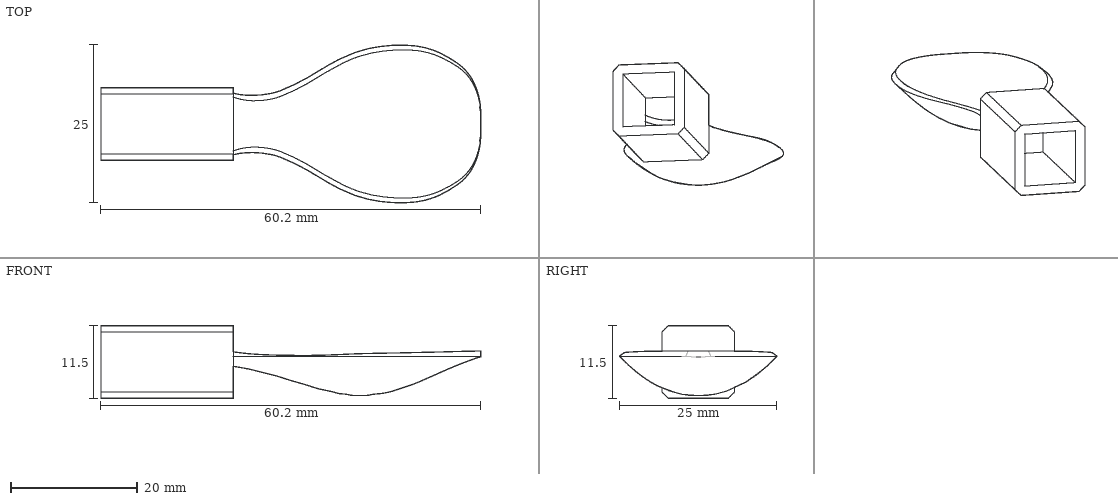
import cadquery as cq
import math

housing_length = 21.0
housing_side = 11.5
end_wall = 1.5
edge_chamfer = 1.0
cavity_width = 8.3
cavity_height = 8.5

overall_length = 60.15
rim_z = 0.9
shell_thickness = 0.95
spoon_start_x = housing_length - end_wall

spoon_sections = [
    (spoon_start_x, 5.15, -0.45, 0.75),
    (21.3, 4.80, -0.80, 0.68),
    (23.5, 4.55, -1.17, 0.42),
    (25.7, 4.65, -1.70, 0.28),
    (27.9, 5.10, -2.30, 0.20),
    (30.0, 5.95, -2.93, 0.17),
    (32.2, 7.05, -3.62, 0.15),
    (34.4, 8.35, -4.25, 0.17),
    (36.6, 9.65, -4.80, 0.24),
    (38.8, 10.75, -5.20, 0.34),
    (40.9, 11.55, -5.36, 0.43),
    (43.1, 12.10, -5.22, 0.48),
    (45.3, 12.40, -4.86, 0.52),
    (47.5, 12.505, -4.27, 0.56),
    (50.0, 12.35, -3.33, 0.62),
    (52.9, 11.60, -2.10, 0.68),
    (55.1, 10.50, -1.08, 0.74),
    (57.3, 8.95, -0.20, 0.80),
    (58.4, 7.70, 0.22, 0.82),
    (59.4, 5.80, 0.58, 0.84),
    (59.95, 3.90, 0.74, 0.85),
    (overall_length, 2.00, 0.78, 0.85),
]


def make_housing():
    body = cq.Workplane("YZ").rect(housing_side, housing_side).extrude(housing_length)
    body = body.edges("|X").chamfer(edge_chamfer)
    cavity = cq.Workplane("YZ").rect(cavity_width, cavity_height).extrude(housing_length - end_wall)
    return body.cut(cavity)


def section_wire(x, half_width, bottom_z, rim_rise):
    """Closed crescent: an outer and an inner arc joined by a narrow sloping rim on each side."""
    rim_inset = math.sqrt(shell_thickness**2 - rim_rise**2)
    inner_half_width = half_width - rim_inset
    inner_rim_z = rim_z + rim_rise
    inner_bottom_z = bottom_z + shell_thickness
    return (
        cq.Workplane("YZ", origin=(x, 0, 0))
        .moveTo(-half_width, rim_z)
        .threePointArc((0, bottom_z), (half_width, rim_z))
        .lineTo(inner_half_width, inner_rim_z)
        .threePointArc((0, inner_bottom_z), (-inner_half_width, inner_rim_z))
        .close()
        .val()
    )


def make_spoon():
    wires = [section_wire(*section) for section in spoon_sections]
    return cq.Workplane(cq.Solid.makeLoft(wires))


spoon = make_spoon()
housing = make_housing().cut(spoon)

result = cq.Compound.makeCompound([*housing.solids().vals(), spoon.val()])